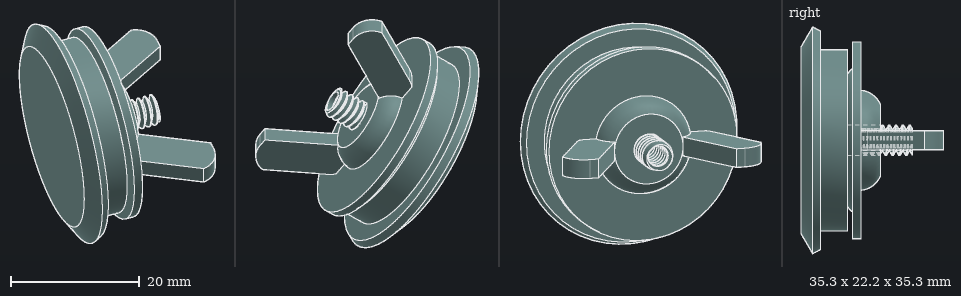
import cadquery as cq
import math


rim_height = 1.85
lip_height = 3.07
step_height = 7.27
washer_base = 8.0
nut_base = 9.4
nut_top = 12.4
stud_tip = 17.33
wing_tip = 22.2

rim_radius = 17.65
face_radius = 14.5
lip_radius = 17.0
step_radius = 14.12

stud_radius = 2.4
root_radius = 1.7
thread_pitch = 1.05
thread_turns = 9
thread_start = 9.25
crest_width = 0.15
flank_angle = 30.0
thread_overlap = 0.07

washer_radius = 15.32
boss_top_radius = 11.15
boss_foot_radius = 10.3
boss_bulge = 0.07

dome_base_radius = 7.8
dome_top_radius = 5.58
dome_bulge = 0.5
wing_thickness = 3.0
wing_width = 5.75
wing_lean = 30.0
wing_round = 3.6
foot_round_height = 10.35
tip_corner_height = 19.2


def turned(outline):
    """Revolve a closed half outline, drawn in the XY plane, about the Y axis."""
    return outline.close().revolve(360, (0, 0, 0), (0, 1, 0))


def rod(radius, start, end):
    """Cylinder along the Y axis between two heights."""
    return cq.Workplane("XZ", origin=(0, start, 0)).circle(radius).extrude(start - end)


def bowed_middle(start, end, bulge):
    """Middle point of a rising arc that bows away from the axis by `bulge`."""
    dx = end[0] - start[0]
    dy = end[1] - start[1]
    chord = math.hypot(dx, dy)
    middle_x = (start[0] + end[0]) / 2 + bulge * dy / chord
    middle_y = (start[1] + end[1]) / 2 - bulge * dx / chord
    return (middle_x, middle_y)


def make_thread():
    """Left-hand ridge of the thread, wound about the Y axis."""
    half_crest = crest_width / 2
    depth = stud_radius - root_radius + thread_overlap
    half_root = half_crest + depth * math.tan(math.radians(flank_angle))
    inner_radius = root_radius - thread_overlap
    path = cq.Wire.makeHelix(thread_pitch, thread_pitch * thread_turns, stud_radius, lefthand=True)
    ridge = (
        cq.Workplane("XZ")
        .moveTo(inner_radius, -half_root)
        .lineTo(stud_radius, -half_crest)
        .lineTo(stud_radius, half_crest)
        .lineTo(inner_radius, half_root)
        .close()
        .sweep(cq.Workplane(path), isFrenet=True)
    )
    return ridge.rotate((0, 0, 0), (1, 0, 0), -90).translate((0, thread_start, 0))


def make_cap():
    """Round cap with a bevelled rim, a step and a threaded stud."""
    disc = turned(
        cq.Workplane("XY")
        .moveTo(0, 0)
        .lineTo(face_radius, 0)
        .lineTo(rim_radius, rim_height)
        .lineTo(lip_radius, lip_height)
        .lineTo(step_radius, lip_height)
        .lineTo(step_radius, step_height)
        .lineTo(0, step_height)
    )
    shank = rod(stud_radius, step_height, nut_base)
    core = rod(root_radius, nut_base, stud_tip)
    thread = make_thread().intersect(rod(rim_radius, nut_base, stud_tip))
    return disc.union(shank).union(core.union(thread))


def make_washer():
    """Flat washer with a rounded boss that rests on the step of the cap."""
    foot = (boss_foot_radius, step_height)
    top = (boss_top_radius, washer_base)
    return turned(
        cq.Workplane("XY")
        .moveTo(stud_radius, step_height)
        .lineTo(*foot)
        .threePointArc(bowed_middle(foot, top, boss_bulge), top)
        .lineTo(washer_radius, washer_base)
        .lineTo(washer_radius, nut_base)
        .lineTo(stud_radius, nut_base)
    )


def arc_point(center, angle):
    """Point on the round of a wing, at an angle from the +X direction."""
    return (center[0] + wing_round * math.cos(angle), center[1] + wing_round * math.sin(angle))


def make_wing():
    """Leaning wing on the +X side, rounded at its outer tip and outer foot."""
    lean = math.radians(wing_lean)
    slope = math.tan(lean)
    level_width = wing_width / math.cos(lean)

    def inner_point(height):
        return (dome_top_radius + (height - nut_top) * slope, height)

    def outer_point(height):
        return (inner_point(height)[0] + level_width, height)

    foot_start = outer_point(foot_round_height)
    foot_center = (
        foot_start[0] - wing_round * math.cos(lean),
        foot_start[1] + wing_round * math.sin(lean),
    )
    foot_end_angle = -math.asin((foot_center[1] - nut_base) / wing_round)
    foot_end = arc_point(foot_center, foot_end_angle)
    foot_middle = arc_point(foot_center, (foot_end_angle - lean) / 2)

    tip_corner = outer_point(tip_corner_height)
    tip_center_height = wing_tip - wing_round
    tip_corner_angle = math.asin((tip_corner_height - tip_center_height) / wing_round)
    tip_center = (tip_corner[0] - wing_round * math.cos(tip_corner_angle), tip_center_height)
    tip_middle = arc_point(tip_center, (tip_corner_angle + math.pi / 2) / 2)

    return (
        cq.Workplane("XY", origin=(0, 0, -wing_thickness / 2))
        .moveTo(*inner_point(nut_base))
        .lineTo(*foot_end)
        .threePointArc(foot_middle, foot_start)
        .lineTo(*tip_corner)
        .threePointArc(tip_middle, (tip_center[0], wing_tip))
        .lineTo(*inner_point(wing_tip))
        .close()
        .extrude(wing_thickness)
    )


def make_nut():
    """Wing nut: a rounded dome with a wing on either side and a bore for the stud."""
    base = (dome_base_radius, nut_base)
    top = (dome_top_radius, nut_top)
    dome = turned(
        cq.Workplane("XY")
        .moveTo(0, nut_base)
        .lineTo(*base)
        .threePointArc(bowed_middle(base, top, dome_bulge), top)
        .lineTo(0, nut_top)
    )
    wing = make_wing()
    bore = rod(stud_radius, nut_base, nut_top)
    return dome.union(wing).union(wing.mirror("YZ")).cut(bore)


cap = make_cap()
washer = make_washer()
wing_nut = make_nut()
result = cq.Compound.makeCompound([cap.val(), washer.val(), wing_nut.val()])